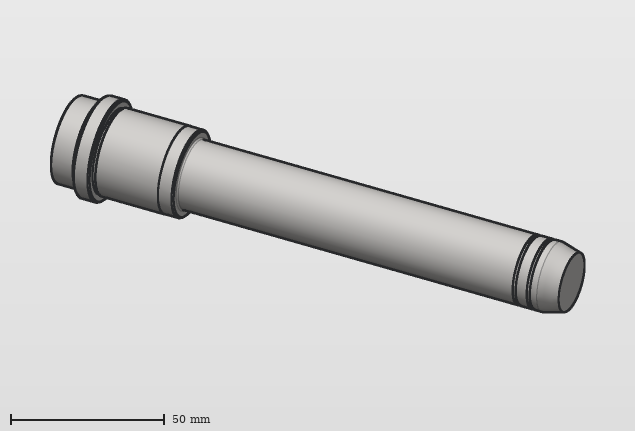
import cadquery as cq
import math

length = 180.0
head_radius = 30.0 / 2
collar_radius = 35.0 / 2
shaft_radius = 24.0 / 2

collar_start = 9.0
collar_end = 15.0
relief_width = 1.0
relief_depth = 0.4
collar_chamfer = 0.5
lead_start = 38.5
lead_depth = 0.09
head_end = 44.0
face_chamfer = 0.27
head_chamfer = 0.5
root_fillet = 0.5

groove_starts = (164.3, 169.4)
groove_width = 1.0
groove_depth = 0.2
nose_start = 173.0
nose_angle = 15.0


def ring(start, width, outer_radius, inner_radius):
    """Tube section along X, used to cut a groove."""
    return (
        cq.Workplane("YZ", origin=(start, 0, 0))
        .circle(outer_radius)
        .circle(inner_radius)
        .extrude(width)
    )


def pin_body():
    """Solid of revolution: chamfered head, lead-in land, shaft and tapered nose."""
    lead_radius = head_radius - lead_depth
    nose_radius = shaft_radius - (length - nose_start) * math.tan(math.radians(nose_angle))
    return (
        cq.Workplane("XY")
        .lineTo(0, head_radius - face_chamfer)
        .lineTo(face_chamfer, head_radius)
        .lineTo(lead_start, head_radius)
        .lineTo(lead_start, lead_radius)
        .lineTo(head_end - head_chamfer, lead_radius)
        .lineTo(head_end, lead_radius - head_chamfer)
        .lineTo(head_end, shaft_radius + root_fillet)
        .radiusArc((head_end + root_fillet, shaft_radius), -root_fillet)
        .lineTo(nose_start, shaft_radius)
        .lineTo(length, nose_radius)
        .lineTo(length, 0)
        .close()
        .revolve(360, (0, 0, 0), (1, 0, 0))
    )


def collar():
    """Stop collar with both rims chamfered."""
    return (
        cq.Workplane("YZ", origin=(collar_start, 0, 0))
        .circle(collar_radius)
        .extrude(collar_end - collar_start)
        .edges()
        .chamfer(collar_chamfer)
    )


result = pin_body().union(collar())

for relief_start in (collar_start - relief_width, collar_end):
    result = result.cut(ring(relief_start, relief_width, head_radius, head_radius - relief_depth))

for groove_start in groove_starts:
    result = result.cut(ring(groove_start, groove_width, shaft_radius, shaft_radius - groove_depth))